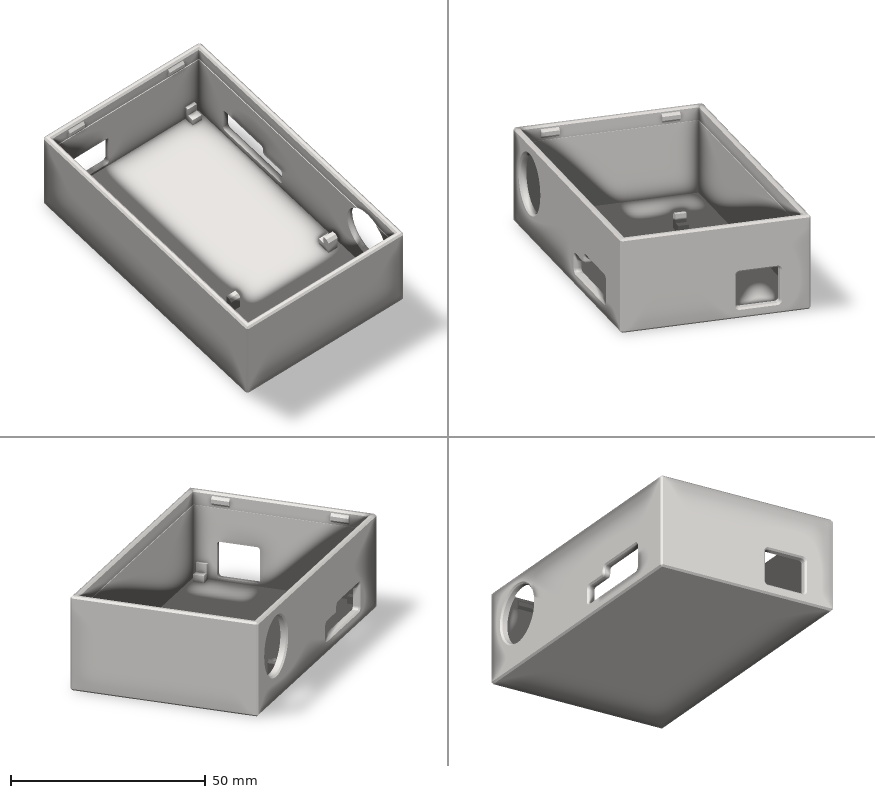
import cadquery as cq

LENGTH = 84.0
WIDTH = 52.0
HEIGHT = 26.0
WALL = 2.0
FLOOR = 2.0
EDGE_CHAMFER = 0.5

LID_RECESS = 0.2
LEDGE_Z = 22.0

INNER_X = LENGTH / 2 - WALL
INNER_Y = WIDTH / 2 - WALL
RECESS_X = INNER_X + LID_RECESS
RECESS_Y = INNER_Y + LID_RECESS

OPENING_FLARE = 0.45
WINDOW_CORNER_RADIUS = 0.9

SIDE_WINDOW_WIDTH = 12.0
SIDE_WINDOW_HEIGHT = 10.0
SIDE_WINDOW_Y = -11.6
SIDE_WINDOW_Z = 7.8

STEPPED_LEFT = -30.0
STEPPED_RIGHT = -5.8
STEPPED_SHOULDER = -13.6
STEPPED_BOTTOM = 3.7
STEPPED_LOW_TOP = 8.7
STEPPED_HIGH_TOP = 11.3

ROUND_HOLE_DIAMETER = 16.0
ROUND_HOLE_X = 29.0
ROUND_HOLE_Z = 15.0

CATCH_LENGTH = 5.0
CATCH_Y = 16.5
CATCH_DEPTH = 0.7
CATCH_BOTTOM = 22.6
CATCH_TOP = 25.1

BOARD_LEFT = -39.0
BOARD_RIGHT = 16.8
SEAT_LENGTH = 2.0
STOP_THICKNESS = 2.0
STOP_BEVEL = 0.8
SUPPORT_WIDTH = 3.0
SEAT_TOP = 4.0
STOP_TOP = 6.5
BACK_SUPPORT_Y = 21.1
FRONT_LEFT_SUPPORT_Y = -21.5
FRONT_RIGHT_SUPPORT_Y = -11.1


def make_shell():
    """Box with bevelled outer edges, hollowed from above, with a lid recess and bevelled rim."""
    outer = cq.Workplane("XY").box(LENGTH, WIDTH, HEIGHT, centered=(True, True, False))
    outer = outer.edges().chamfer(EDGE_CHAMFER)
    cavity = (
        cq.Workplane("XY")
        .workplane(offset=FLOOR)
        .rect(2 * INNER_X, 2 * INNER_Y)
        .extrude(HEIGHT - FLOOR)
    )
    recess = (
        cq.Workplane("XY")
        .workplane(offset=LEDGE_Z)
        .rect(2 * RECESS_X, 2 * RECESS_Y)
        .extrude(HEIGHT - LEDGE_Z)
    )
    rim_bevel = (
        cq.Workplane("XY")
        .workplane(offset=HEIGHT)
        .rect(2 * (RECESS_X + EDGE_CHAMFER), 2 * (RECESS_Y + EDGE_CHAMFER))
        .workplane(offset=-EDGE_CHAMFER)
        .rect(2 * RECESS_X, 2 * RECESS_Y)
        .loft(ruled=True)
    )
    return outer.cut(cavity).cut(recess).cut(rim_bevel)


def flare(opening, outer_face):
    """Widen a wall opening outwards with a bevel along its edge on the outer face."""
    bevel = opening.faces(outer_face).wires().toPending().offset2D(OPENING_FLARE)
    return opening.union(bevel.extrude(OPENING_FLARE, taper=45))


def make_side_window():
    """Cutter for the rounded, outward-flared window in the -X wall."""
    opening = (
        cq.Workplane("YZ", origin=(-LENGTH / 2, SIDE_WINDOW_Y, SIDE_WINDOW_Z))
        .rect(SIDE_WINDOW_WIDTH, SIDE_WINDOW_HEIGHT)
        .extrude(WALL)
        .edges("|X")
        .fillet(WINDOW_CORNER_RADIUS)
    )
    return flare(opening, "<X")


def make_stepped_window():
    """Cutter for the stepped window in the +Y wall, rounded at its corners and flared outwards."""
    window = (
        cq.Workplane("XZ", origin=(0, WIDTH / 2, 0))
        .moveTo(STEPPED_LEFT, STEPPED_BOTTOM)
        .lineTo(STEPPED_RIGHT, STEPPED_BOTTOM)
        .lineTo(STEPPED_RIGHT, STEPPED_LOW_TOP)
        .lineTo(STEPPED_SHOULDER, STEPPED_LOW_TOP)
        .lineTo(STEPPED_SHOULDER, STEPPED_HIGH_TOP)
        .lineTo(STEPPED_LEFT, STEPPED_HIGH_TOP)
        .close()
        .extrude(WALL)
    )
    window = window.edges("|Y").fillet(WINDOW_CORNER_RADIUS)
    return flare(window, ">Y")


def make_round_hole():
    """Cutter for the round, outward-flared hole in the +Y wall."""
    hole = (
        cq.Workplane("XZ", origin=(ROUND_HOLE_X, WIDTH / 2, ROUND_HOLE_Z))
        .circle(ROUND_HOLE_DIAMETER / 2)
        .extrude(WALL)
    )
    return flare(hole, ">Y")


def make_catch(end, y):
    """Trapezoidal ridge on the end wall at the +X (end=1) or -X (end=-1) side."""
    wall_x = end * RECESS_X
    face_x = wall_x - end * CATCH_DEPTH
    return (
        cq.Workplane("XZ", origin=(0, y, 0))
        .moveTo(wall_x, CATCH_BOTTOM)
        .lineTo(face_x, CATCH_BOTTOM + CATCH_DEPTH)
        .lineTo(face_x, CATCH_TOP - CATCH_DEPTH)
        .lineTo(wall_x, CATCH_TOP)
        .close()
        .extrude(CATCH_LENGTH / 2, both=True)
    )


def make_support(board_end, outward, y):
    """L-shaped support: seat under the board, stop with bevelled back beyond its end."""
    back = board_end + outward * STOP_THICKNESS
    return (
        cq.Workplane("XZ", origin=(0, y, 0))
        .moveTo(board_end - outward * SEAT_LENGTH, FLOOR)
        .lineTo(back, FLOOR)
        .lineTo(back, STOP_TOP - STOP_BEVEL)
        .lineTo(back - outward * STOP_BEVEL, STOP_TOP)
        .lineTo(board_end, STOP_TOP)
        .lineTo(board_end, SEAT_TOP)
        .lineTo(board_end - outward * SEAT_LENGTH, SEAT_TOP)
        .close()
        .extrude(SUPPORT_WIDTH / 2, both=True)
    )


result = make_shell()

for catch_end in (-1, 1):
    for catch_y in (-CATCH_Y, CATCH_Y):
        result = result.union(make_catch(catch_end, catch_y))

for support_y in (FRONT_LEFT_SUPPORT_Y, BACK_SUPPORT_Y):
    result = result.union(make_support(BOARD_LEFT, -1, support_y))
for support_y in (FRONT_RIGHT_SUPPORT_Y, BACK_SUPPORT_Y):
    result = result.union(make_support(BOARD_RIGHT, 1, support_y))

result = result.cut(make_side_window())
result = result.cut(make_stepped_window())
result = result.cut(make_round_hole())